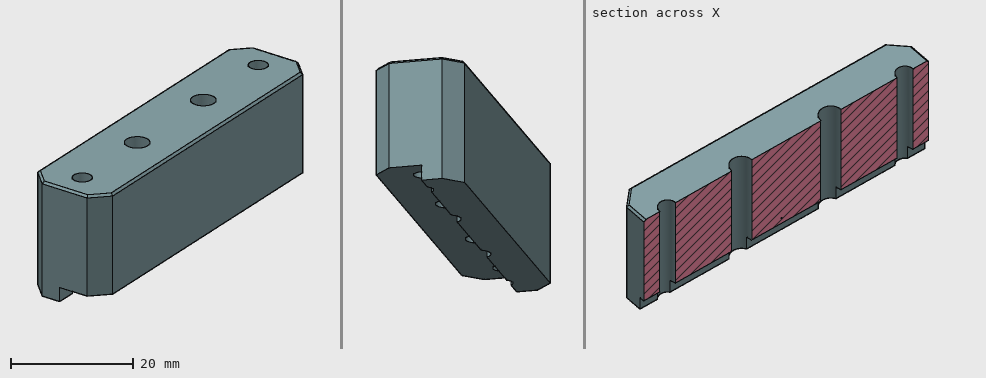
import cadquery as cq

width = 15.0
length = 60.0
height = 21.0
corner_chamfer = 3.0
top_chamfer = 0.4

lip_width = 6.5
lip_height = 2.6

outer_hole_diameter = 3.3
outer_hole_spacing = 50.0
inner_hole_diameter = 4.2
inner_hole_spacing = 18.8


def chamfered_block():
    """Block with its underside at Z = 0, bevelled corners and a bevelled top rim."""
    block = cq.Workplane("XY").box(width, length, height, centered=(True, True, False))
    block = block.edges("|Z").chamfer(corner_chamfer)
    return block.faces(">Z").edges().chamfer(top_chamfer)


def underside_step():
    """Material removed from the underside on the +X side of the lip."""
    step_width = width - lip_width
    return (
        cq.Workplane("XY")
        .box(step_width, length, lip_height, centered=(False, True, False))
        .translate((lip_width - width / 2, 0, 0))
    )


def hole_pair(diameter, spacing):
    """Two vertical through holes placed symmetrically along Y."""
    return (
        cq.Workplane("XY")
        .pushPoints([(0, -spacing / 2), (0, spacing / 2)])
        .circle(diameter / 2)
        .extrude(height)
    )


result = (
    chamfered_block()
    .cut(underside_step())
    .cut(hole_pair(outer_hole_diameter, outer_hole_spacing))
    .cut(hole_pair(inner_hole_diameter, inner_hole_spacing))
)